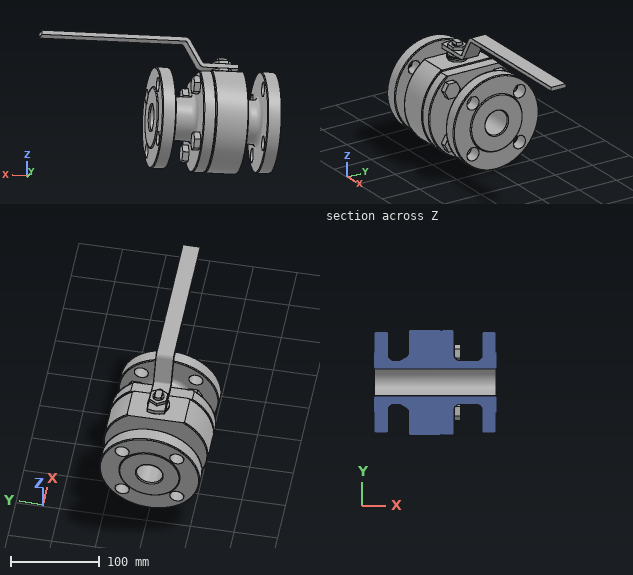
import cadquery as cq
import math


OVERALL_LENGTH = 267.5

BORE_DIA = 30.0
BORE_MOUTH_DIA = 31.8
BORE_MOUTH_DEPTH = 1.5

FLANGE_DIA = 115.0
FLANGE_EDGE = 1.0
RAISED_BASE_DIA = 70.0
RAISED_FACE_DIA = 68.0
INLET_FACE_HEIGHT = 0.8
INLET_FLANGE_BACK_X = 17.5
OUTLET_FLANGE_BACK_X = 122.5
OUTLET_FLANGE_FRONT_X = 138.5
OUTLET_FACE_X = 140.0
FLANGE_HOLE_DIA = 16.0
FLANGE_HOLE_OFFSET = 31.3

NECK_DIA = 50.0
NECK_FILLET = 6.2
INLET_NECK_END_X = 27.5
FLARE_START_X = 30.8
FLARE_START_DIA = 51.4
FLARE_END_X = 36.6
FLARE_END_DIA = 58.0
FLARE_BODY_DIA = 67.0

BODY_DIA = 119.8
BODY_START_X = 39.5
COVER_START_X = 77.0
COVER_END_X = 91.5
BODY_EDGE = 1.0
BODY_FLAT_Z = 50.0
COVER_FLAT_Z = 48.5

BOLT_HEAD_FLATS = 18.5
BOLT_HEAD_HEIGHT = 7.2
BOLT_OFFSET = 32.6

STEM_X = (BODY_START_X + COVER_START_X) / 2
GLAND_DIA = 22.0
WASHER_DIA = 25.0
WASHER_BOTTOM_Z = 53.0
WASHER_TOP_Z = 55.0
NUT_FLATS = 19.5
LEVER_BOTTOM_Z = 58.8
UPPER_NUT_TOP_Z = 68.0
STEM_DIA = 12.5
STEM_FLATS = 8.0
STEM_SHOULDER = 0.3
STEM_TOP_Z = 72.0

LEVER_WIDTH = 20.0
LEVER_THICKNESS = 5.0
LEVER_START_X = 39.3
LEVER_BEND_X = 80.0
LEVER_TOP_Z = 93.0
LEVER_ANGLE = 60.0
LEVER_INNER_BEND = 2.7
LEVER_END_RADIUS = 24.5

OVERLAP = 1.3


def cylinder_x(diameter, start_x, end_x):
    return cq.Workplane("YZ", origin=(start_x, 0, 0)).circle(diameter / 2).extrude(end_x - start_x)


def stem_cylinder(diameter, bottom_z, top_z):
    return cq.Workplane("XY", origin=(STEM_X, 0, bottom_z)).circle(diameter / 2).extrude(top_z - bottom_z)


def hexagon_dia(flats):
    """Diameter over the corners of a hexagon with the given width across flats."""
    return flats / math.cos(math.pi / 6)


def flange(back_x, front_x, face_x):
    """Drilled flange with a slightly tapered raised face."""
    disc = cylinder_x(FLANGE_DIA, min(back_x, front_x), max(back_x, front_x))
    disc = disc.edges().chamfer(FLANGE_EDGE)
    raised_face = (
        cq.Workplane("XY")
        .polyline([
            (back_x, 0),
            (back_x, RAISED_BASE_DIA / 2),
            (front_x, RAISED_BASE_DIA / 2),
            (face_x, RAISED_FACE_DIA / 2),
            (face_x, 0),
        ])
        .close()
        .revolve(360, (0, 0, 0), (1, 0, 0))
    )
    holes = (
        cq.Workplane("YZ", origin=(min(back_x, front_x), 0, 0))
        .rect(2 * FLANGE_HOLE_OFFSET, 2 * FLANGE_HOLE_OFFSET, forConstruction=True)
        .vertices()
        .circle(FLANGE_HOLE_DIA / 2)
        .extrude(abs(front_x - back_x))
    )
    return disc.union(raised_face).cut(holes)


def flat_topped_disc(start_x, end_x, flat_z):
    """Round block with broken edges and a flat on top."""
    disc = cylinder_x(BODY_DIA, start_x, end_x).edges().chamfer(BODY_EDGE)
    above_flat = cq.Workplane("XY", origin=(0, 0, flat_z)).rect(
        2 * OVERALL_LENGTH, 2 * BODY_DIA).extrude(BODY_DIA)
    return disc.cut(above_flat)


def fillet_arc(outline, start, end, center):
    """Add a quarter arc from start to end around the given centre."""
    middle_angle = math.atan2(start[1] + end[1] - 2 * center[1], start[0] + end[0] - 2 * center[0])
    middle = (
        center[0] + NECK_FILLET * math.cos(middle_angle),
        center[1] + NECK_FILLET * math.sin(middle_angle),
    )
    return outline.threePointArc(middle, end)


def inlet_neck():
    """Neck that blends out of the inlet flange and flares into the body."""
    radius = NECK_DIA / 2
    fillet_top = radius + NECK_FILLET
    fillet_end_x = INLET_FLANGE_BACK_X + NECK_FILLET
    flare_run = FLARE_END_X - FLARE_START_X
    flare_rise = (FLARE_END_DIA - FLARE_START_DIA) / 2
    outline = cq.Workplane("XY").moveTo(INLET_FLANGE_BACK_X, 0).lineTo(INLET_FLANGE_BACK_X, fillet_top)
    outline = fillet_arc(
        outline, (INLET_FLANGE_BACK_X, fillet_top), (fillet_end_x, radius), (fillet_end_x, fillet_top))
    return (
        outline.lineTo(INLET_NECK_END_X, radius)
        .tangentArcPoint((FLARE_START_X, FLARE_START_DIA / 2), relative=False)
        .line(flare_run, flare_rise)
        .tangentArcPoint((BODY_START_X, FLARE_BODY_DIA / 2), relative=False)
        .lineTo(BODY_START_X, 0)
        .close()
        .revolve(360, (0, 0, 0), (1, 0, 0))
    )


def outlet_neck():
    """Straight neck filleted into the cover and into the outlet flange."""
    radius = NECK_DIA / 2
    fillet_top = radius + NECK_FILLET
    first_x = COVER_END_X + NECK_FILLET
    last_x = OUTLET_FLANGE_BACK_X - NECK_FILLET
    outline = cq.Workplane("XY").moveTo(COVER_END_X, 0).lineTo(COVER_END_X, fillet_top)
    outline = fillet_arc(outline, (COVER_END_X, fillet_top), (first_x, radius), (first_x, fillet_top))
    outline = outline.lineTo(last_x, radius)
    outline = fillet_arc(
        outline, (last_x, radius), (OUTLET_FLANGE_BACK_X, fillet_top), (last_x, fillet_top))
    return outline.lineTo(OUTLET_FLANGE_BACK_X, 0).close().revolve(360, (0, 0, 0), (1, 0, 0))


def cover_bolts():
    """Four hexagon heads on the cover, with corners pointing along Y."""
    return (
        cq.Workplane("YZ", origin=(COVER_END_X - OVERLAP, 0, 0))
        .rect(2 * BOLT_OFFSET, 2 * BOLT_OFFSET, forConstruction=True)
        .vertices()
        .polygon(6, hexagon_dia(BOLT_HEAD_FLATS))
        .extrude(BOLT_HEAD_HEIGHT + OVERLAP)
    )


def stem_stack():
    """Gland, washer, the two nuts clamping the lever and the flatted stem end."""
    gland = stem_cylinder(GLAND_DIA, BODY_FLAT_Z - OVERLAP, WASHER_BOTTOM_Z)
    washer = stem_cylinder(WASHER_DIA, WASHER_BOTTOM_Z, WASHER_TOP_Z)
    nuts = (
        cq.Workplane("XY", origin=(STEM_X, 0, WASHER_TOP_Z))
        .polygon(6, hexagon_dia(NUT_FLATS))
        .extrude(UPPER_NUT_TOP_Z - WASHER_TOP_Z)
    )
    stem_flats = cq.Workplane("XY", origin=(STEM_X, 0, UPPER_NUT_TOP_Z)).rect(
        STEM_DIA, STEM_FLATS).extrude(STEM_TOP_Z - UPPER_NUT_TOP_Z)
    stem_end = stem_cylinder(STEM_DIA, UPPER_NUT_TOP_Z, STEM_TOP_Z).intersect(stem_flats)
    shoulder = stem_cylinder(STEM_DIA, UPPER_NUT_TOP_Z, UPPER_NUT_TOP_Z + STEM_SHOULDER)
    return gland.union(washer).union(nuts).union(shoulder).union(stem_end)


def lever():
    """Flat strip swept along a cranked centre line, with a rounded stem end."""
    angle = math.radians(LEVER_ANGLE)
    bend_radius = LEVER_INNER_BEND + LEVER_THICKNESS / 2
    bend_run = bend_radius * math.sin(angle)
    bend_rise = bend_radius * (1 - math.cos(angle))
    start_z = LEVER_BOTTOM_Z + LEVER_THICKNESS / 2
    end_z = LEVER_TOP_Z - LEVER_THICKNESS / 2
    slope_length = (end_z - start_z - 2 * bend_rise) / math.sin(angle)
    center_line = (
        cq.Workplane("XZ")
        .moveTo(LEVER_START_X, start_z)
        .hLineTo(LEVER_BEND_X)
        .tangentArcPoint((bend_run, bend_rise))
        .polarLine(slope_length, LEVER_ANGLE)
        .tangentArcPoint((bend_run, bend_rise))
        .hLineTo(OVERALL_LENGTH)
    )
    strip = (
        cq.Workplane("YZ", origin=(LEVER_START_X, 0, start_z))
        .rect(LEVER_WIDTH, LEVER_THICKNESS)
        .sweep(center_line)
    )
    half_width = LEVER_WIDTH / 2
    sagitta = LEVER_END_RADIUS - math.sqrt(LEVER_END_RADIUS**2 - half_width**2)
    rounded_outline = (
        cq.Workplane("XY")
        .moveTo(OVERALL_LENGTH, -half_width)
        .lineTo(LEVER_START_X + sagitta, -half_width)
        .threePointArc((LEVER_START_X, 0), (LEVER_START_X + sagitta, half_width))
        .lineTo(OVERALL_LENGTH, half_width)
        .close()
        .extrude(LEVER_TOP_Z)
    )
    return strip.intersect(rounded_outline)


def bore():
    """Through bore with a chamfered mouth at both ends."""
    return (
        cq.Workplane("XY")
        .polyline([
            (0, 0),
            (0, BORE_MOUTH_DIA / 2),
            (BORE_MOUTH_DEPTH, BORE_DIA / 2),
            (OUTLET_FACE_X - BORE_MOUTH_DEPTH, BORE_DIA / 2),
            (OUTLET_FACE_X, BORE_MOUTH_DIA / 2),
            (OUTLET_FACE_X, 0),
        ])
        .close()
        .revolve(360, (0, 0, 0), (1, 0, 0))
    )


result = (
    flange(INLET_FLANGE_BACK_X, INLET_FACE_HEIGHT, 0)
    .union(inlet_neck())
    .union(flat_topped_disc(BODY_START_X, COVER_START_X, BODY_FLAT_Z))
    .union(flat_topped_disc(COVER_START_X, COVER_END_X, COVER_FLAT_Z))
    .union(outlet_neck())
    .union(flange(OUTLET_FLANGE_BACK_X, OUTLET_FLANGE_FRONT_X, OUTLET_FACE_X))
    .union(cover_bolts())
    .union(stem_stack())
    .union(lever())
    .cut(bore())
)